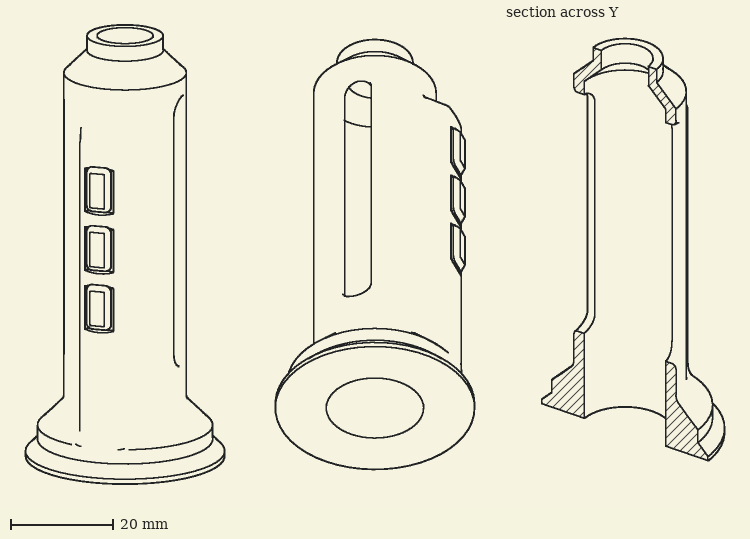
import cadquery as cq
import math

total_height = 85.7
base_diameter = 39.0
base_radius = base_diameter / 2
rim_height = 1.0
collar_radius = 17.15
collar_bottom = 3.4
collar_top = 6.35
body_radius = 12.0
neck_radius = 7.5
neck_bottom = 82.7
shoulder_bottom = neck_bottom - (body_radius - neck_radius)
flare_top = collar_top + (collar_radius - body_radius)
bore_radius = 9.5
neck_bore_radius = 5.5
neck_bore_bottom = 81.3
main_bore_top = neck_bore_bottom - (bore_radius - neck_bore_radius)

slot_half_width = 3.0
slot_bottom_center = 22.55
slot_top_center = 71.15
slot_edge_radius = 1.0

rib_half_width = 4.0
rib_draft = 14.0
rib_top = 68.1
rib_top_slope = 30.0
blend_radius = 2.0
split_height = slot_bottom_center
tolerance = 0.01

button_width = 5.0
button_height = 9.1
button_bevel = 1.0
button_corner_radius = 1.2
button_face = 18.3
button_pitch = 12.0
button_count = 3
top_button_center = 59.15
pocket_half_width = 2.9
pocket_height = 8.5
pocket_drop = 0.35
pocket_floor = 16.8
pocket_end_slope = 1.7


def revolve_profile(points):
    return cq.Workplane("XZ").polyline(points).close().revolve(360, (0, 0, 0), (0, 1, 0))


def make_rib(bottom):
    """Drafted rib with a sloping top and sharp edges."""
    lean = math.tan(math.radians(rib_draft))
    rise = math.tan(math.radians(rib_top_slope))
    depth = collar_radius - bore_radius
    root_half_width = rib_half_width + depth * lean
    tip_half_width = rib_half_width - depth * lean
    root = -bore_radius
    tip = -collar_radius - depth
    wedge = (
        cq.Workplane("XY", origin=(0, 0, bottom))
        .polyline([
            (-root_half_width, root),
            (root_half_width, root),
            (tip_half_width, tip),
            (-tip_half_width, tip),
        ])
        .close()
        .extrude(total_height)
    )
    side_outline = (
        cq.Workplane("YZ")
        .polyline([
            (root, 0),
            (tip, 0),
            (tip, rib_top - depth * rise),
            (root, rib_top + depth * rise),
        ])
        .close()
        .extrude(base_radius, both=True)
    )
    front = cq.Workplane("XY").circle(collar_radius).extrude(total_height)
    return wedge.intersect(side_outline).intersect(front)


def touches_cylinder(edge, radius):
    """True when the whole edge lies on the cylinder of this radius about Z."""
    points = [edge.positionAt(t) for t in (0.2, 0.5, 0.8)]
    return all(abs(math.hypot(p.x, p.y) - radius) < tolerance for p in points)


def fillet_edges(solid, radius, wanted):
    edges = [edge for edge in solid.edges().vals() if wanted(edge)]
    return solid.newObject(edges).fillet(radius)


def is_root_edge(edge):
    """Inner corners between body, flare and rib; the rib meets the flare in hyperbolas."""
    height = edge.Center().z
    on_body = touches_cylinder(edge, body_radius)
    between_ends = collar_top < height < shoulder_bottom - tolerance
    at_split = edge.geomType() == "CIRCLE" and abs(height - split_height) < tolerance
    return between_ends and not at_split and (on_body or edge.geomType() == "HYPERBOLA")


def is_front_corner(edge):
    """Upright edges down both sides of the rib front."""
    upright = edge.geomType() == "LINE" and abs(edge.tangentAt(0).z) > 0.9 - tolerance
    p = edge.Center()
    beside_front = p.y < 0 and tolerance < abs(p.x) < body_radius
    return upright and beside_front and p.z > collar_top and touches_cylinder(edge, collar_radius)


def is_upper_rib_edge(edge):
    """Outer edges of the upper rib, leaving out its cut base and its hidden root."""
    p = edge.Center()
    return p.z > split_height + tolerance and p.y < -bore_radius - tolerance


def make_lower():
    shell = revolve_profile([
        (0, 0),
        (base_radius, 0),
        (base_radius, rim_height),
        (collar_radius, collar_bottom),
        (collar_radius, collar_top),
        (body_radius, flare_top),
        (body_radius, split_height),
        (0, split_height),
    ])
    below_split = cq.Workplane("XY").circle(base_radius).extrude(split_height)
    piece = shell.union(make_rib(collar_bottom).intersect(below_split))
    piece = fillet_edges(piece, blend_radius, is_root_edge)
    piece = fillet_edges(piece, blend_radius, is_front_corner)
    return piece.union(shell)


def make_upper():
    shell = revolve_profile([
        (0, split_height),
        (body_radius, split_height),
        (body_radius, shoulder_bottom),
        (neck_radius, neck_bottom),
        (neck_radius, total_height),
        (0, total_height),
    ])
    rib = fillet_edges(make_rib(split_height), blend_radius, is_upper_rib_edge)
    return fillet_edges(shell.union(rib), blend_radius, is_root_edge)


def make_bore():
    return revolve_profile([
        (0, 0),
        (bore_radius, 0),
        (bore_radius, main_bore_top),
        (neck_bore_radius, neck_bore_bottom),
        (neck_bore_radius, total_height),
        (0, total_height),
    ])


def cut_window_slot(body):
    length = slot_top_center - slot_bottom_center + 2 * slot_half_width
    middle = (slot_top_center + slot_bottom_center) / 2
    slot = (
        cq.Workplane("YZ", origin=(0, 0, middle))
        .slot2D(length, 2 * slot_half_width, 90)
        .extrude(base_radius, both=True)
    )

    def is_slot_rim(edge):
        p = edge.Center()
        beside_slot = abs(p.y) < slot_half_width + tolerance and abs(p.z - middle) < length / 2 + tolerance
        return beside_slot and abs(p.x) > bore_radius and touches_cylinder(edge, body_radius)

    return fillet_edges(body.cut(slot), slot_edge_radius, is_slot_rim)


def make_pocket(center):
    depth = button_face - pocket_floor
    floor_half = pocket_height / 2
    mouth_half = floor_half + depth * pocket_end_slope
    return (
        cq.Workplane("YZ", origin=(0, 0, center))
        .polyline([
            (-pocket_floor, -floor_half),
            (-pocket_floor, floor_half),
            (-button_face, mouth_half),
            (-button_face, -mouth_half),
        ])
        .close()
        .extrude(pocket_half_width, both=True)
    )


def make_button(center):
    root = collar_radius - blend_radius
    return (
        cq.Workplane("XZ", origin=(0, -root, center))
        .rect(button_width, button_height)
        .extrude(button_face - root)
        .edges("|Y")
        .fillet(button_corner_radius)
        .faces("<Y")
        .chamfer(button_bevel)
    )


result = make_lower().union(make_upper()).cut(make_bore())
result = cut_window_slot(result)
for index in range(button_count):
    button_center = top_button_center - index * button_pitch
    result = result.cut(make_pocket(button_center - pocket_drop))
    result = result.union(make_button(button_center))